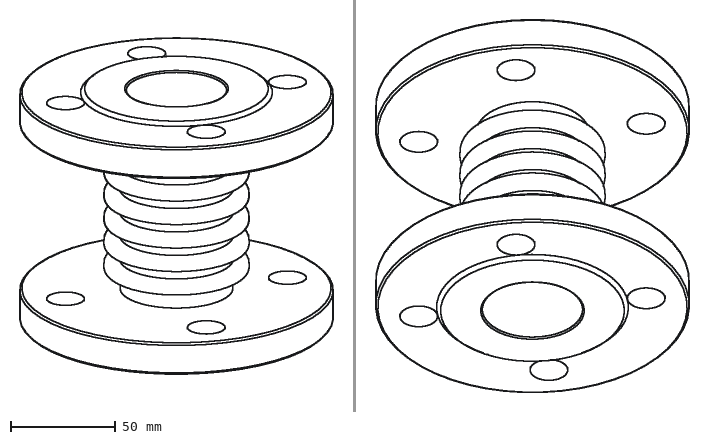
import cadquery as cq

total_height = 120.0
bore_diameter = 48.0
bore_chamfer = 0.8

flange_diameter = 150.0
flange_thickness = 16.0
flange_chamfer = 1.0
raised_face_diameter = 91.8
raised_face_height = 2.0

bolt_hole_diameter = 18.0
bolt_circle_diameter = 110.0
bolt_count = 4
first_bolt_angle = 45.0

pipe_diameter = 54.0
sleeve_diameter = 54.3
ring_diameter = 69.5
ring_width = 6.0
ring_edge_radius = 2.0
ring_pitch = 12.0
ring_count = 6

ring_span = (ring_count - 1) * ring_pitch
flange_inner_z = total_height / 2 - raised_face_height - flange_thickness


def centred_cylinder(diameter, height):
    return cq.Workplane("XY").circle(diameter / 2).extrude(height / 2, both=True)


def make_upper_flange():
    plate = (
        cq.Workplane("XY", origin=(0, 0, flange_inner_z))
        .circle(flange_diameter / 2)
        .extrude(flange_thickness)
        .edges()
        .chamfer(flange_chamfer)
    )
    raised_face = (
        cq.Workplane("XY", origin=(0, 0, flange_inner_z + flange_thickness))
        .circle(raised_face_diameter / 2)
        .extrude(raised_face_height, taper=45)
    )
    bolt_holes = (
        cq.Workplane("XY", origin=(0, 0, flange_inner_z))
        .polarArray(bolt_circle_diameter / 2, first_bolt_angle, 360, bolt_count)
        .circle(bolt_hole_diameter / 2)
        .extrude(flange_thickness)
    )
    return plate.union(raised_face).cut(bolt_holes)


def make_ringed_pipe():
    pipe = centred_cylinder(pipe_diameter, 2 * flange_inner_z)
    pipe = pipe.union(centred_cylinder(sleeve_diameter, ring_span))
    ring = centred_cylinder(ring_diameter, ring_width).edges().fillet(ring_edge_radius)
    for index in range(ring_count):
        ring_z = index * ring_pitch - ring_span / 2
        pipe = pipe.union(ring.translate((0, 0, ring_z)))
    return pipe


def make_bore():
    bore_radius = bore_diameter / 2
    mouth_radius = bore_radius + bore_chamfer
    half_height = total_height / 2
    flare_start_z = half_height - bore_chamfer
    return (
        cq.Workplane("XZ")
        .moveTo(0, -half_height)
        .lineTo(mouth_radius, -half_height)
        .lineTo(bore_radius, -flare_start_z)
        .lineTo(bore_radius, flare_start_z)
        .lineTo(mouth_radius, half_height)
        .lineTo(0, half_height)
        .close()
        .revolve(360, (0, 0, 0), (0, 1, 0))
    )


upper_flange = make_upper_flange()
lower_flange = upper_flange.mirror("XY")
result = make_ringed_pipe().union(upper_flange).union(lower_flange).cut(make_bore())